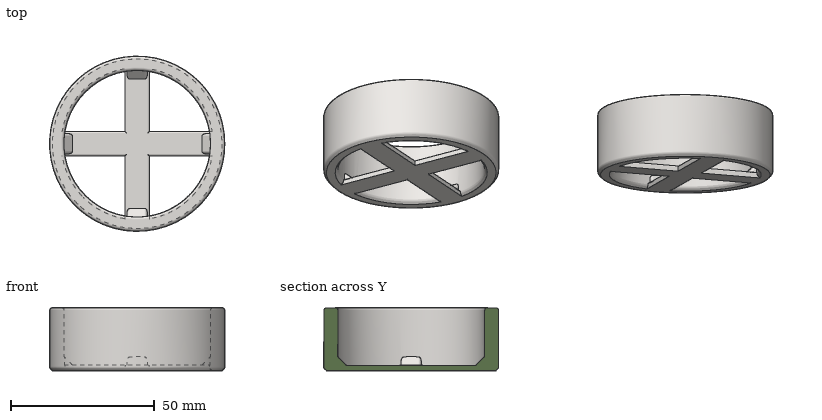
import cadquery as cq

outer_diameter = 61.0
inner_diameter = 51.0
ring_height = 22.0
edge_size = 1.0

arm_width = 8.65
arm_thickness = 2.0
arm_edge_radius = 0.75

ramp_size = 3.0
ramp_width = 7.0
ramp_edge_radius = 1.0

inner_radius = inner_diameter / 2
embedded_radius = (outer_diameter + inner_diameter) / 4


def make_ring():
    ring = cq.Workplane("XY").circle(outer_diameter / 2).circle(inner_radius).extrude(ring_height)
    ring = ring.faces(">Z").edges().fillet(edge_size)
    ring = ring.faces("<Z").edges().chamfer(edge_size)
    bevel_tops = cq.selectors.BoxSelector(
        (-outer_diameter, -outer_diameter, edge_size / 2),
        (outer_diameter, outer_diameter, 1.5 * edge_size),
    )
    return ring.edges("%CIRCLE").edges(bevel_tops).fillet(edge_size)


def make_cross():
    arm_length = 2 * embedded_radius
    arm_x = cq.Workplane("XY").rect(arm_length, arm_width).extrude(arm_thickness)
    arm_y = cq.Workplane("XY").rect(arm_width, arm_length).extrude(arm_thickness)
    return arm_x.union(arm_y).faces(">Z").edges().fillet(arm_edge_radius)


def make_ramp():
    """45-degree ramp on the +X arm with its two sloping edges rounded."""
    foot_radius = inner_radius - ramp_size
    run = embedded_radius - foot_radius
    sunk = arm_thickness / 2
    ramp = (
        cq.Workplane("XZ")
        .moveTo(foot_radius - sunk, arm_thickness - sunk)
        .lineTo(embedded_radius, arm_thickness - sunk)
        .lineTo(embedded_radius, arm_thickness + run)
        .close()
        .extrude(ramp_width / 2, both=True)
    )
    sloping_edges = cq.selectors.ParallelDirSelector(cq.Vector(1, 0, 1))
    ramp = ramp.edges(sloping_edges).fillet(ramp_edge_radius)
    envelope = cq.Workplane("XY").circle(inner_radius + edge_size).extrude(ring_height)
    return ramp.intersect(envelope)


result = make_ring().union(make_cross())
ramp = make_ramp()
for angle in (0, 90, 180, 270):
    result = result.union(ramp.rotate((0, 0, 0), (0, 0, 1), angle))